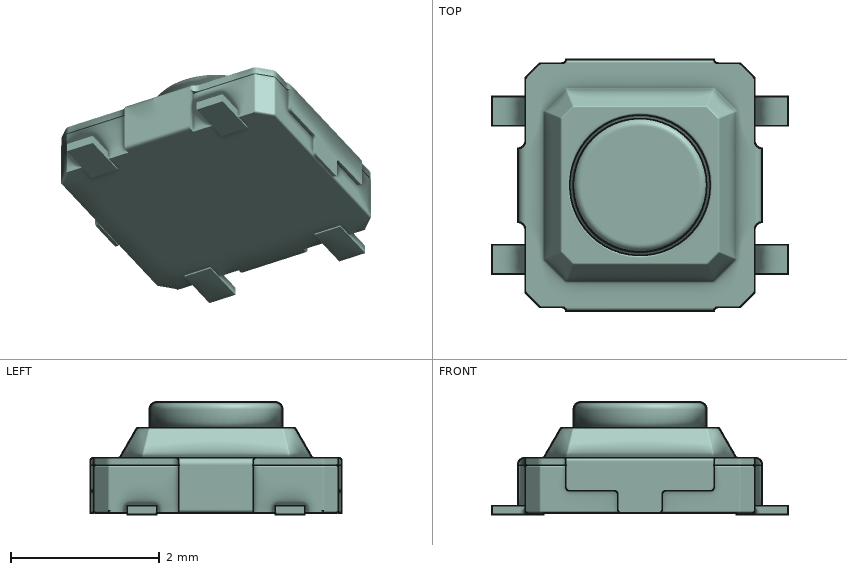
import cadquery as cq
import math


base_length = 3.1
base_width = 3.3
base_height = 0.65
corner_chamfer = 0.2
edge_round = 0.03

button_radius = 0.9
button_top = 1.5
button_round = 0.1

lead_span = 4.0
lead_width = 0.4
lead_pitch = 2.0
lead_bottom = -0.02
lead_thickness = 0.12
lead_inner_end = 1.3

sheet_thickness = 0.1
plate_top = base_height + sheet_thickness
plate_corner_round = 0.1

dome_length = 2.6
dome_chamfer = 0.3
dome_top = 1.15
dome_height = dome_top - plate_top
dome_draft = 30.0
button_hole_radius = button_radius + 0.05

side_flap_width = 1.0
side_flap_thickness = sheet_thickness
side_flap_foot_round = 0.05

overall_width = 3.4
tee_flap_width = 2.0
tee_flap_thickness = (overall_width - base_width) / 2
tee_flap_bottom = 0.3
tee_stem_width = 0.6
tee_corner_round = 0.05


def make_block():
    """Chamfered base block with softened edges, left square along the bottom of its X faces."""
    block = (
        cq.Workplane("XY")
        .box(base_length, base_width, base_height, centered=(True, True, False))
        .edges("|Z").chamfer(corner_chamfer)
        .edges().fillet(edge_round)
    )
    square_edge_length = base_width - 2 * corner_chamfer
    square_edges = cq.Workplane("XY").box(
        base_length, square_edge_length, edge_round, centered=(True, True, False)
    )
    return block.union(square_edges)


def make_leads():
    lead_length = lead_span / 2 - lead_inner_end
    lead_centre = lead_inner_end + lead_length / 2
    return (
        cq.Workplane("XY", origin=(0, 0, lead_bottom))
        .rarray(2 * lead_centre, lead_pitch, 2, 2)
        .rect(lead_length, lead_width)
        .extrude(lead_thickness)
    )


def make_button():
    return (
        cq.Workplane("XY", origin=(0, 0, base_height))
        .circle(button_radius)
        .extrude(button_top - base_height)
        .faces(">Z").edges().fillet(button_round)
    )


def make_plate():
    return (
        cq.Workplane("XY", origin=(0, 0, base_height))
        .rect(base_length, base_width)
        .extrude(sheet_thickness)
        .edges("|Z").chamfer(corner_chamfer)
        .edges("|Z").fillet(plate_corner_round)
    )


def make_dome():
    """Eight-sided drafted dome with softened edges above its foot."""
    foot = cq.Sketch().rect(dome_length, dome_length).vertices().chamfer(dome_chamfer)
    dome = (
        cq.Workplane("XY", origin=(0, 0, plate_top))
        .placeSketch(foot)
        .extrude(dome_height, taper=dome_draft)
    )
    return dome.edges("not <Z").fillet(edge_round)


def add_foot_round(cover):
    """Hollow round where the dome meets the plate."""
    reach = dome_length / 2 + edge_round
    foot = cq.selectors.BoxSelector(
        (-reach, -reach, plate_top - edge_round),
        (reach, reach, plate_top + edge_round),
    )
    return cover.edges(foot).fillet(edge_round)


def make_bend(reach, width, thickness):
    """Rounded bend along Y at X = reach, widening into the plate through a concave round at each end."""
    outer = reach + thickness
    half = width / 2
    diagonal = thickness * (1 - math.sqrt(0.5))
    outline = (
        cq.Workplane("XY", origin=(0, 0, base_height))
        .moveTo(reach, -half - thickness)
        .threePointArc((reach + diagonal, -half - diagonal), (outer, -half))
        .lineTo(outer, half)
        .threePointArc((reach + diagonal, half + diagonal), (reach, half + thickness))
        .close()
        .extrude(sheet_thickness)
    )
    rounded_section = (
        cq.Workplane("XZ")
        .moveTo(reach, 0)
        .lineTo(outer, 0)
        .lineTo(outer, plate_top - thickness)
        .radiusArc((reach, plate_top), -thickness)
        .close()
        .extrude(half + thickness, both=True)
    )
    return outline.intersect(rounded_section)


def make_side_flap():
    """Flap against the +X face, reaching down to the underside of the base."""
    reach = base_length / 2
    flap = (
        cq.Workplane("XY")
        .box(side_flap_thickness, side_flap_width, base_height, centered=(False, True, False))
        .translate((reach, 0, 0))
        .edges(">X and <Z").fillet(side_flap_foot_round)
    )
    return flap.union(make_bend(reach, side_flap_width, side_flap_thickness))


def make_tee_flap():
    """Tee-shaped flap against the +Y face, its stem reaching down to the underside of the base."""
    reach = base_width / 2
    half_flap = tee_flap_width / 2
    half_stem = tee_stem_width / 2
    tee = (
        cq.Workplane("XZ", origin=(0, reach, 0))
        .polyline([
            (-half_flap, base_height),
            (-half_flap, tee_flap_bottom),
            (-half_stem, tee_flap_bottom),
            (-half_stem, 0),
            (half_stem, 0),
            (half_stem, tee_flap_bottom),
            (half_flap, tee_flap_bottom),
            (half_flap, base_height),
        ])
        .close()
        .extrude(-tee_flap_thickness)
        .edges("|Y and (not >Z)").fillet(tee_corner_round)
    )
    bend = make_bend(reach, tee_flap_width, tee_flap_thickness)
    return tee.union(bend.rotate((0, 0, 0), (0, 0, 1), 90))


def make_base():
    """Block, leads and button in one moulding, with a hollow round at the foot of the button."""
    base = make_block().union(make_leads()).union(make_button())
    reach = button_radius + edge_round
    button_foot = cq.selectors.BoxSelector(
        (-reach, -reach, base_height - edge_round),
        (reach, reach, base_height + edge_round),
    )
    return base.edges(button_foot).edges("%CIRCLE").fillet(edge_round)


def make_cover():
    cover = add_foot_round(make_plate().union(make_dome()))
    for flap in (make_side_flap(), make_tee_flap()):
        for turn in (0, 180):
            cover = cover.union(flap.rotate((0, 0, 0), (0, 0, 1), turn))
    hole_depth = sheet_thickness + dome_height
    hole = cq.Workplane("XY", origin=(0, 0, base_height)).circle(button_hole_radius).extrude(hole_depth)
    return cover.cut(hole).faces(">Z").edges("%CIRCLE").fillet(edge_round)


base = make_base()
cover = make_cover()

result = cq.Compound.makeCompound([base.val(), cover.val()])